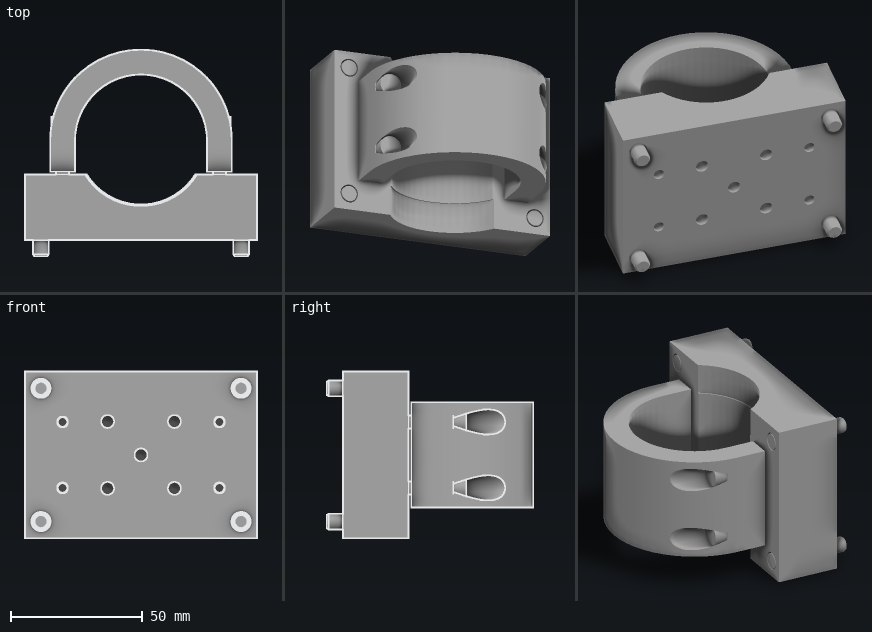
import cadquery as cq
import math


BASE_WIDTH = 88.1
BASE_DEPTH = 24.9
BASE_HEIGHT = 63.5
MOUNT_FACE_Y = -BASE_DEPTH

BORE_RADIUS = 25.0
STRAP_RADIUS = 34.55
STRAP_HEIGHT = 40.0
LEG_LENGTH = 11.9
STRAP_GAP = 1.0
LEG_END_Y = STRAP_GAP
BORE_CENTER_Y = LEG_END_Y + LEG_LENGTH

LAND_RADIUS = 24.3
RELIEF_RADIUS = 24.85
LAND_HEIGHT = STRAP_HEIGHT

SCREW_X = (BORE_RADIUS + STRAP_RADIUS) / 2
SCREW_Z = 12.5
SCREW_DIAMETER = 5.0
SCREW_TIP_DIAMETER = 3.6
SCREW_LENGTH = 35.0
SCREW_CLEARANCE_DIAMETER = 5.55
HEAD_DIAMETER = 8.5
HEAD_HEIGHT = 4.85
HEAD_RECESS_DIAMETER = 9.5
HEAD_SEAT_Y = LEG_END_Y + 16.0
SCREW_TIP_Y = HEAD_SEAT_Y - SCREW_LENGTH
TAP_DRILL_DIAMETER = 4.1

STUD_X = 38.0
STUD_Z = 25.3
STUD_DIAMETER = 6.1
STUD_TIP_DIAMETER = 4.9
STUD_PROTRUSION = 6.2
STUD_TIP_CHAMFER_LENGTH = 0.9
STUD_HOLE_DIAMETER = 7.1

BLIND_HOLE_PITCH = 12.7
BLIND_HOLE_DIAMETER = 4.9
BLIND_HOLE_DEPTH = 8.8
DRILL_POINT_ANGLE = 118.0

MIRROR_SIGNS = [(sx, sz) for sx in (-1, 1) for sz in (-1, 1)]
SCREW_POINTS = [(sx * SCREW_X, sz * SCREW_Z) for sx, sz in MIRROR_SIGNS]
STUD_POINTS = [(sx * STUD_X, sz * STUD_Z) for sx, sz in MIRROR_SIGNS]
BLIND_HOLE_POINTS = [(0, 0)] + [(sx * BLIND_HOLE_PITCH, sz * BLIND_HOLE_PITCH) for sx, sz in MIRROR_SIGNS]


def y_rod(profile, x, z):
    """Solid turned about the Y-parallel line at (x, z); the profile lists (radius, y) points."""
    rod = cq.Workplane("XY").polyline(profile).close().revolve(360, (0, 0, 0), (0, 1, 0))
    return rod.translate((x, 0, z))


def y_cylinder(diameter, y_start, y_end, x, z):
    radius = diameter / 2
    return y_rod([(0, y_start), (radius, y_start), (radius, y_end), (0, y_end)], x, z)


def strap_screw(x, z):
    """Cap screw whose shank ends in a cone."""
    radius = SCREW_DIAMETER / 2
    tip_radius = SCREW_TIP_DIAMETER / 2
    head_radius = HEAD_DIAMETER / 2
    head_top_y = HEAD_SEAT_Y + HEAD_HEIGHT
    profile = [
        (0, SCREW_TIP_Y),
        (tip_radius, SCREW_TIP_Y),
        (radius, SCREW_TIP_Y + radius - tip_radius),
        (radius, HEAD_SEAT_Y),
        (head_radius, HEAD_SEAT_Y),
        (head_radius, head_top_y),
        (0, head_top_y),
    ]
    return y_rod(profile, x, z)


def mounting_stud(x, z):
    """Stud running through the base, with a tapered tip beyond the mounting face."""
    radius = STUD_DIAMETER / 2
    tip_y = MOUNT_FACE_Y - STUD_PROTRUSION
    tip_radius = STUD_TIP_DIAMETER / 2
    profile = [
        (0, tip_y),
        (tip_radius, tip_y),
        (radius, tip_y + STUD_TIP_CHAMFER_LENGTH),
        (radius, 0),
        (0, 0),
    ]
    return y_rod(profile, x, z)


def blind_hole_cutter(x, z):
    """Drilled hole with a conical bottom."""
    radius = BLIND_HOLE_DIAMETER / 2
    shoulder_y = MOUNT_FACE_Y + BLIND_HOLE_DEPTH
    point_length = radius / math.tan(math.radians(DRILL_POINT_ANGLE / 2))
    profile = [(0, MOUNT_FACE_Y), (radius, MOUNT_FACE_Y), (radius, shoulder_y), (0, shoulder_y + point_length)]
    return y_rod(profile, x, z)


def groove_cutter(radius, height):
    """Cylinder on the bore axis, centred on Z = 0."""
    return cq.Workplane("XY").center(0, BORE_CENTER_Y).circle(radius).extrude(height / 2, both=True)


def make_base():
    base = cq.Workplane("XY").box(BASE_WIDTH, BASE_DEPTH, BASE_HEIGHT).translate((0, -BASE_DEPTH / 2, 0))
    base = base.cut(groove_cutter(LAND_RADIUS, BASE_HEIGHT))
    end_relief = groove_cutter(RELIEF_RADIUS, BASE_HEIGHT).cut(groove_cutter(RELIEF_RADIUS, LAND_HEIGHT))
    base = base.cut(end_relief)
    for x, z in BLIND_HOLE_POINTS:
        base = base.cut(blind_hole_cutter(x, z))
    for x, z in STUD_POINTS:
        base = base.cut(y_cylinder(STUD_HOLE_DIAMETER, MOUNT_FACE_Y, 0, x, z))
    for x, z in SCREW_POINTS:
        base = base.cut(y_cylinder(SCREW_DIAMETER, SCREW_TIP_Y, 0, x, z))
        base = base.cut(y_cylinder(TAP_DRILL_DIAMETER, MOUNT_FACE_Y, SCREW_TIP_Y, x, z))
    return base


def make_strap():
    strap = (
        cq.Workplane("XY")
        .moveTo(-STRAP_RADIUS, LEG_END_Y)
        .lineTo(-STRAP_RADIUS, BORE_CENTER_Y)
        .threePointArc((0, BORE_CENTER_Y + STRAP_RADIUS), (STRAP_RADIUS, BORE_CENTER_Y))
        .lineTo(STRAP_RADIUS, LEG_END_Y)
        .lineTo(BORE_RADIUS, LEG_END_Y)
        .lineTo(BORE_RADIUS, BORE_CENTER_Y)
        .threePointArc((0, BORE_CENTER_Y + BORE_RADIUS), (-BORE_RADIUS, BORE_CENTER_Y))
        .lineTo(-BORE_RADIUS, LEG_END_Y)
        .close()
        .extrude(STRAP_HEIGHT / 2, both=True)
    )
    crown_y = BORE_CENTER_Y + STRAP_RADIUS
    for x, z in SCREW_POINTS:
        strap = strap.cut(y_cylinder(SCREW_CLEARANCE_DIAMETER, LEG_END_Y, HEAD_SEAT_Y, x, z))
        strap = strap.cut(y_cylinder(HEAD_RECESS_DIAMETER, HEAD_SEAT_Y, crown_y, x, z))
    return strap


base = make_base()
strap = make_strap()
strap_screws = [strap_screw(x, z).val() for x, z in SCREW_POINTS]
mounting_studs = [mounting_stud(x, z).val() for x, z in STUD_POINTS]

result = cq.Compound.makeCompound([base.val(), strap.val(), *strap_screws, *mounting_studs])